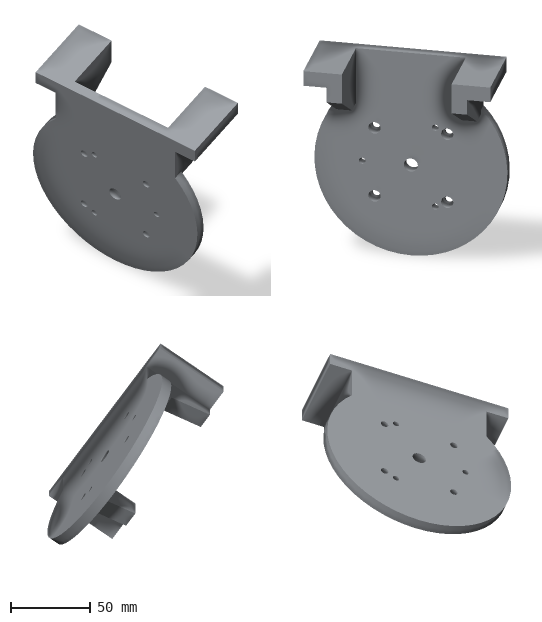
import cadquery as cq
import math

total_height = 139.8
total_depth = 49.0
plate_thickness = 7.0

disc_radius = 62.3
top_z = total_height - disc_radius

neck_width = 90.9
flange_width = 120.8
flange_height = 10.0

arm_gap = 70.9
rib_height = 37.7
rib_back_height = 20.1
rib_bottom_depth = 19.3

bore_diameter = 9.0
square_hole_diameter = 5.0
square_hole_spacing = 47.0
counterbore_diameter = 7.8
counterbore_depth = 5.0
ring_hole_diameter = 4.2
ring_hole_radius = 31.5
ring_hole_count = 3


def block(x_min, x_max, depth, z_min, z_max):
    """Box whose front face lies on the plane Y = 0."""
    return cq.Workplane("XY").box(x_max - x_min, depth, z_max - z_min, centered=False).translate(
        (x_min, 0, z_min)
    )


def plate_holes(points, diameter, depth=plate_thickness):
    """Cutters at the given (X, Z) points, reaching the given depth in from the back of the plate."""
    back_face = cq.Workplane("XZ", origin=(0, plate_thickness, 0))
    return back_face.pushPoints(points).circle(diameter / 2).extrude(depth)


def face_plate():
    disc = cq.Workplane("XZ").circle(disc_radius).extrude(-plate_thickness)
    neck = block(-neck_width / 2, neck_width / 2, plate_thickness, 0, top_z)
    flange = block(
        -flange_width / 2, flange_width / 2, plate_thickness, top_z - flange_height, top_z
    )
    return disc.union(neck).union(flange)


def right_arm():
    """Flange arm and the tapered rib below it on the +X side."""
    arm = block(arm_gap / 2, flange_width / 2, total_depth, top_z - flange_height, top_z)
    rib = (
        cq.Workplane("YZ", origin=(arm_gap / 2, 0, 0))
        .moveTo(0, top_z)
        .lineTo(total_depth, top_z)
        .lineTo(total_depth, top_z - rib_back_height)
        .lineTo(rib_bottom_depth, top_z - rib_height)
        .lineTo(0, top_z - rib_height)
        .close()
        .extrude((neck_width - arm_gap) / 2)
    )
    return arm.union(rib)


arm = right_arm()
result = face_plate().union(arm).union(arm.mirror("YZ"))

half_spacing = square_hole_spacing / 2
square_points = [(x, z) for x in (-half_spacing, half_spacing) for z in (-half_spacing, half_spacing)]
ring_angles = [2 * math.pi * i / ring_hole_count for i in range(ring_hole_count)]
ring_points = [(ring_hole_radius * math.cos(a), ring_hole_radius * math.sin(a)) for a in ring_angles]

result = result.cut(plate_holes([(0, 0)], bore_diameter))
result = result.cut(plate_holes(square_points, square_hole_diameter))
result = result.cut(plate_holes(square_points, counterbore_diameter, counterbore_depth))
result = result.cut(plate_holes(ring_points, ring_hole_diameter))